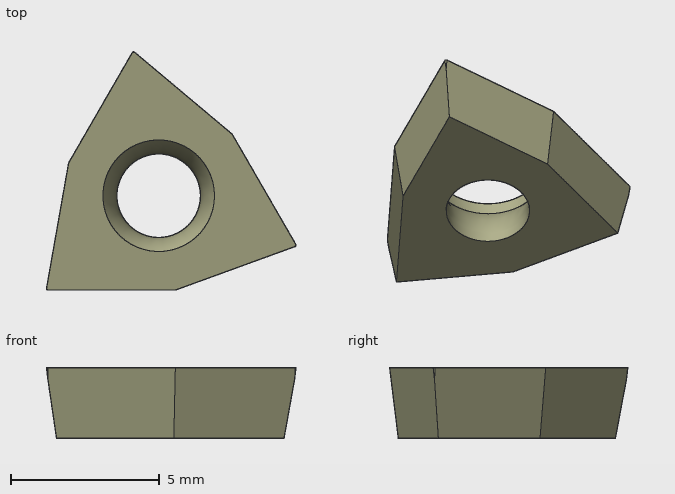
import cadquery as cq
import math

inscribed_radius = 6.35 / 2
thickness = 2.38
corner_angle = 80.0
corner_count = 3
first_corner_direction = 100.0
relief_angle = 7.0
nose_radius = 0.05

hole_radius = 2.8 / 2
seat_radius = 3.75 / 2
seat_depth = 0.5
flare_radius = 2.5

half_corner = corner_angle / 2
corner_pitch = 360.0 / corner_count
corner_directions = [first_corner_direction + index * corner_pitch for index in range(corner_count)]
flank_half_turn = half_corner + corner_pitch / 2 - 90.0
corner_sine = math.sin(math.radians(half_corner))
side_cosine = math.cos(math.radians(flank_half_turn))
relief_slope = math.tan(math.radians(relief_angle))
nose_depth = nose_radius / relief_slope


def polar(radius, degrees):
    """Vector of the given length and direction in the XY plane."""
    angle = math.radians(degrees)
    return cq.Vector(radius * math.cos(angle), radius * math.sin(angle))


def side_vertex(flank_distance, corner_direction):
    """Shallow vertex that follows a corner, going counterclockwise."""
    return polar(flank_distance / side_cosine, corner_direction + corner_pitch / 2)


def make_rounded_layer():
    """Upper layer, tapering down from the rounded top outline to sharp corners."""
    center_reach = (inscribed_radius - nose_radius) / corner_sine
    normal_turn = 90.0 - half_corner
    last_vertex = side_vertex(inscribed_radius, corner_directions[-1])
    outline = cq.Workplane("XY", origin=(0, 0, thickness)).moveTo(last_vertex.x, last_vertex.y)
    for direction in corner_directions:
        nose_center = polar(center_reach, direction)
        arc_start = nose_center + polar(nose_radius, direction - normal_turn)
        arc_middle = nose_center + polar(nose_radius, direction)
        arc_end = nose_center + polar(nose_radius, direction + normal_turn)
        next_vertex = side_vertex(inscribed_radius, direction)
        outline = outline.lineTo(arc_start.x, arc_start.y)
        outline = outline.threePointArc(arc_middle.toTuple()[:2], arc_end.toTuple()[:2])
        if direction != corner_directions[-1]:
            outline = outline.lineTo(next_vertex.x, next_vertex.y)
    return outline.close().extrude(-nose_depth, taper=relief_angle)


def make_sharp_layer():
    """Lower layer with sharp corners, continuing the same flanks to the bottom."""
    flank_distance = inscribed_radius - nose_radius
    layer_height = thickness - nose_depth
    points = []
    for direction in corner_directions:
        corner = polar(flank_distance / corner_sine, direction)
        vertex = side_vertex(flank_distance, direction)
        points += [(corner.x, corner.y), (vertex.x, vertex.y)]
    outline = cq.Workplane("XY", origin=(0, 0, layer_height)).polyline(points).close()
    return outline.extrude(-layer_height, taper=relief_angle)


def make_hole_cutter():
    """Through hole, flared screw seat and straight entry, turned about Z."""
    seat_height = thickness - seat_depth
    flare_center_radius = hole_radius + flare_radius
    flare_drop = math.sqrt(flare_radius**2 - (flare_center_radius - seat_radius) ** 2)
    flare_bottom = seat_height - flare_drop
    half_sweep = math.asin(flare_drop / flare_radius) / 2
    flare_middle = (
        flare_center_radius - flare_radius * math.cos(half_sweep),
        flare_bottom + flare_radius * math.sin(half_sweep),
    )
    return (
        cq.Workplane("XZ")
        .lineTo(hole_radius, 0)
        .lineTo(hole_radius, flare_bottom)
        .threePointArc(flare_middle, (seat_radius, seat_height))
        .lineTo(seat_radius, thickness)
        .lineTo(0, thickness)
        .close()
        .revolve(360, (0, 0, 0), (0, 1, 0))
    )


result = make_rounded_layer().union(make_sharp_layer()).cut(make_hole_cutter())